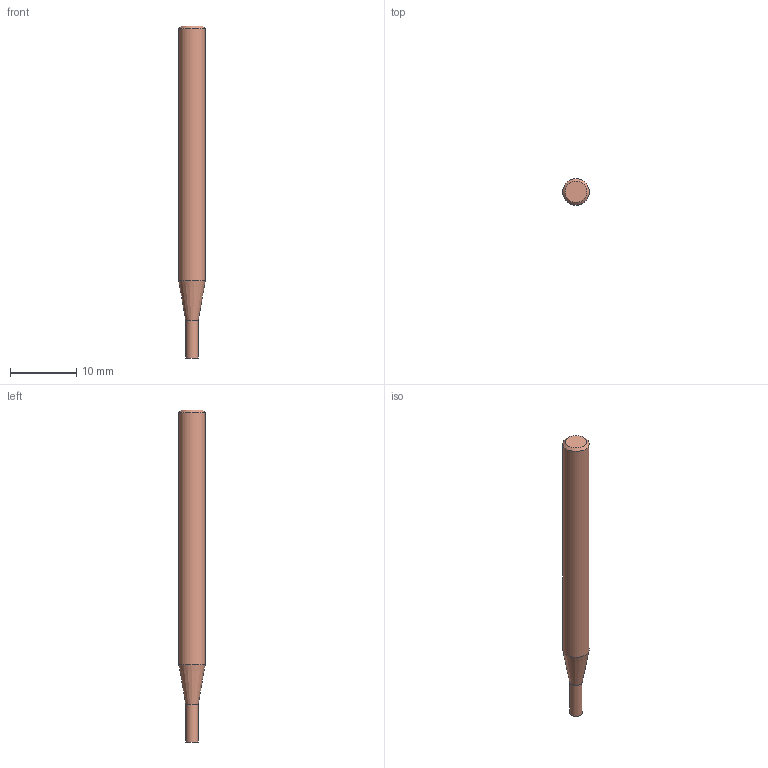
import cadquery as cq
import math

overall_length = 50.0
shank_diameter = 4.0
tip_diameter = 1.9
tip_length = 5.7
taper_half_angle = 10.0
end_chamfer = 0.38

shank_radius = shank_diameter / 2
tip_radius = tip_diameter / 2
taper_length = (shank_radius - tip_radius) / math.tan(math.radians(taper_half_angle))
taper_top = tip_length + taper_length


def turned_body():
    """Half outline on the -X side of the axis, turned a full revolution about Z."""
    outline = (
        cq.Workplane("XZ")
        .moveTo(0, 0)
        .lineTo(-tip_radius, 0)
        .lineTo(-tip_radius, tip_length)
        .lineTo(-shank_radius, taper_top)
        .lineTo(-shank_radius, overall_length - end_chamfer)
        .lineTo(-shank_radius + end_chamfer, overall_length)
        .lineTo(0, overall_length)
        .close()
    )
    return outline.revolve(360, (0, 0, 0), (0, 1, 0))


result = turned_body()